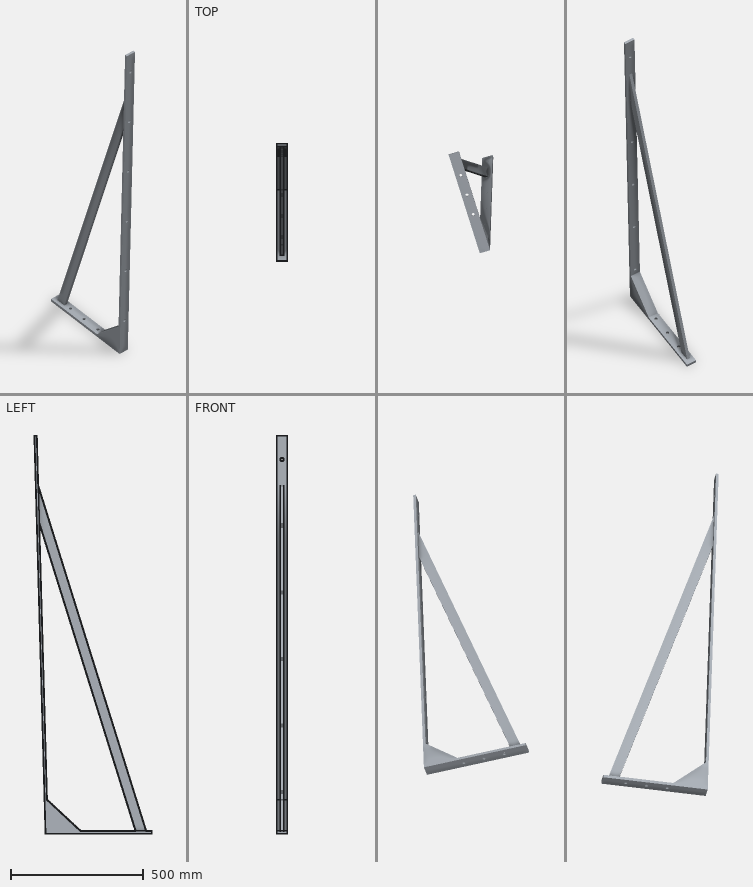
import cadquery as cq
import math

width = 40.0
height = 1500.0
depth = 442.0
foot_length = 400.0
foot_thickness = 12.0
post_thickness = 10.0
gusset_height = 129.0
gusset_length = 132.0

brace_thickness = 12.0
brace_tip_setback = 21.0
brace_foot_span = 40.0
brace_top = 1310.0

hole_diameter = 12.0
post_hole_count = 6
post_hole_top = 1410.0
post_hole_pitch = 250.0
foot_hole_count = 3
foot_hole_setback = 90.0
foot_hole_pitch = 80.0

post_lean = depth - foot_length
lean_slope = post_lean / height
lean_angle = math.degrees(math.atan(lean_slope))


def post_back(z):
    """Y of the back face of the leaning post at height z."""
    return lean_slope * z


def post_front(z):
    """Y of the front face of the leaning post at height z."""
    return post_back(z) - post_thickness


def side_plate(points, thickness):
    """Plate with a YZ outline, centred on X = 0."""
    return cq.Workplane("YZ").polyline(points).close().extrude(thickness / 2, both=True)


def make_frame():
    """Post, foot and corner gusset as one full-width profile."""
    return side_plate(
        [
            (0, 0),
            (-foot_length, 0),
            (-foot_length, foot_thickness),
            (-gusset_length, foot_thickness),
            (post_front(gusset_height), gusset_height),
            (post_front(height), height),
            (post_back(height), height),
        ],
        width,
    )


def make_brace():
    """Thin diagonal brace with parallel edges, from the foot tip up to the post."""
    outer_foot = brace_tip_setback - foot_length
    inner_foot = outer_foot + brace_foot_span
    outer_top = post_front(brace_top)
    brace_slope = (outer_top - outer_foot) / (brace_top - foot_thickness)
    inner_top = brace_top - brace_foot_span / (brace_slope - lean_slope)
    return side_plate(
        [
            (outer_foot, foot_thickness),
            (inner_foot, foot_thickness),
            (post_front(inner_top), inner_top),
            (outer_top, brace_top),
        ],
        brace_thickness,
    )


def make_hole(y, z, tilt):
    """Drill centred at (y, z); tilt 0 is along Y, 90 is along Z."""
    drill_length = 2 * (post_thickness + foot_thickness)
    drill = cq.Workplane("XZ").circle(hole_diameter / 2).extrude(drill_length / 2, both=True)
    return drill.rotate((0, 0, 0), (1, 0, 0), tilt).translate((0, y, z))


result = make_frame()

for i in range(post_hole_count):
    hole_z = post_hole_top - i * post_hole_pitch
    hole_y = post_back(hole_z) - post_thickness / 2
    result = result.cut(make_hole(hole_y, hole_z, -lean_angle))

for i in range(foot_hole_count):
    hole_y = foot_hole_setback + i * foot_hole_pitch - foot_length
    result = result.cut(make_hole(hole_y, foot_thickness / 2, 90))

result = result.union(make_brace())